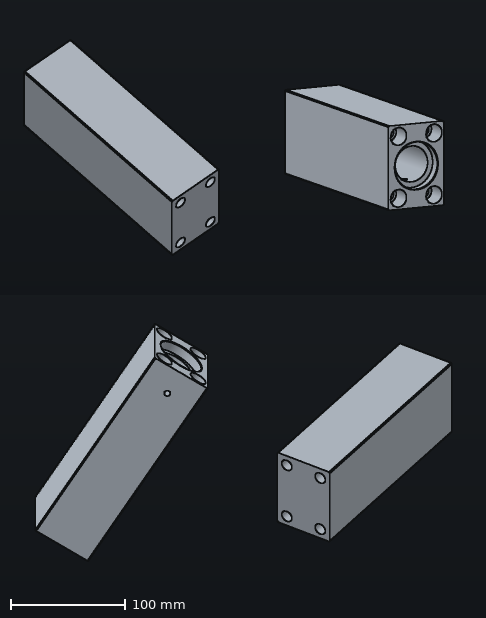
import cadquery as cq

length = 195.0
width = 55.0
height = 75.0
edge_chamfer = 1.0

bore_diameter = 32.0
seat_diameter = 42.0
seat_depth = 9.2
seat_chamfer = 0.5
end_wall = 19.5
bore_depth = length - end_wall

port_diameter = 5.0
port_distance = 22.8

bolt_spacing_y = 35.0
bolt_spacing_z = 55.0
bolt_hole_diameter = 10.5
counterbore_diameter = 15.6
counterbore_depth = 19.5


def make_block():
    """Block centred on the origin, with its four long edges chamfered."""
    return cq.Workplane("XY").box(length, width, height).edges("|X").chamfer(edge_chamfer)


def end_face(body):
    """Workplane centred on the -X end of the body."""
    return body.faces("<X").workplane(centerOption="CenterOfBoundBox")


def cut_stepped_bore(body):
    """Cut the bore and its wider seat, then chamfer the mouth of the seat."""
    body = end_face(body).cboreHole(bore_diameter, seat_diameter, seat_depth, bore_depth)
    seat_mouth = body.faces("<X").edges("%CIRCLE")
    return seat_mouth.chamfer(seat_chamfer)


def cut_port(body):
    """Drill the port from the bore axis down through the -Z wall."""
    port_x = port_distance - length / 2
    port = cq.Workplane("XY").center(port_x, 0).circle(port_diameter / 2).extrude(-height / 2)
    return body.cut(port)


def cut_bolt_holes(body):
    """Cut the counterbored through holes at the corners of a rectangle."""
    corners = end_face(body).rect(bolt_spacing_y, bolt_spacing_z, forConstruction=True).vertices()
    return corners.cboreHole(bolt_hole_diameter, counterbore_diameter, counterbore_depth)


result = make_block()
result = cut_stepped_bore(result)
result = cut_port(result)
result = cut_bolt_holes(result)